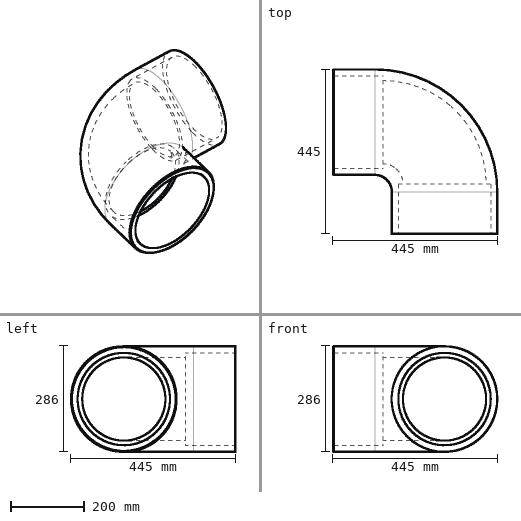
import cadquery as cq

overall = 445.0
outer_diameter = 286.0
socket_diameter = 250.0
bore_diameter = 225.0
outer_straight = 113.5
socket_depth = 135.0
end_chamfer = 2.5

leg_axis = overall - outer_straight - outer_diameter / 2
end_face = -outer_straight


def x_leg(diameter, length):
    """Cylinder running inwards from the -X end face."""
    return (
        cq.Workplane("YZ", origin=(end_face, leg_axis, 0))
        .circle(diameter / 2)
        .extrude(length)
    )


def y_leg(diameter, length):
    """Cylinder running inwards from the -Y end face."""
    return (
        cq.Workplane("XZ", origin=(leg_axis, end_face, 0))
        .circle(diameter / 2)
        .extrude(-length)
    )


def bend(diameter, straight):
    """Quarter torus joining the two legs after the given straight length."""
    bend_centre = end_face + straight
    bend_radius = leg_axis - bend_centre
    return (
        cq.Workplane("XZ", origin=(leg_axis, bend_centre, 0))
        .circle(diameter / 2)
        .revolve(90, (-bend_radius, 0, 0), (-bend_radius, 1, 0))
    )


body = (
    bend(outer_diameter, outer_straight)
    .union(x_leg(outer_diameter, outer_straight))
    .union(y_leg(outer_diameter, outer_straight))
    .faces("<X").edges().chamfer(end_chamfer)
)

result = (
    body.cut(bend(bore_diameter, socket_depth))
    .cut(x_leg(socket_diameter, socket_depth))
    .cut(y_leg(socket_diameter, socket_depth))
)